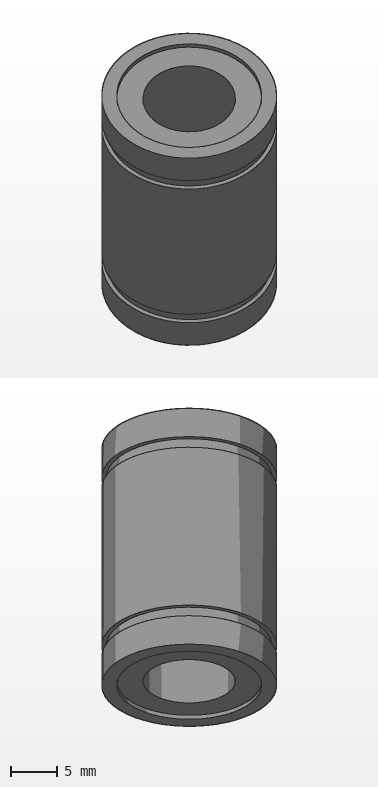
import cadquery as cq

length = 29.0
outer_diameter = 19.0
bore_diameter = 10.0

groove_diameter = 18.0
groove_width = 1.3
groove_span = 22.0

recess_diameter = 15.72
recess_depth = 0.5


def ring_groove(bottom_z):
    """Ring of material to remove, starting at the given height."""
    return (
        cq.Workplane("XY")
        .workplane(offset=bottom_z)
        .circle(outer_diameter / 2)
        .circle(groove_diameter / 2)
        .extrude(groove_width)
    )


result = (
    cq.Workplane("XY")
    .circle(outer_diameter / 2)
    .circle(bore_diameter / 2)
    .extrude(length / 2, both=True)
)

for groove_bottom in (-groove_span / 2, groove_span / 2 - groove_width):
    result = result.cut(ring_groove(groove_bottom))

for end_face in (">Z", "<Z"):
    result = (
        result.faces(end_face)
        .workplane(origin=(0, 0, 0))
        .circle(recess_diameter / 2)
        .cutBlind(-recess_depth)
    )